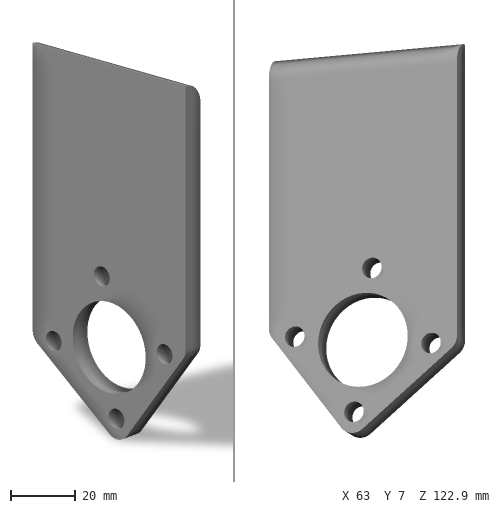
import cadquery as cq
import math

width = 63.0
thickness = 7.0
height = 122.9
corner_radius = 5.0
edge_distance = 22.4
edge_normal_half_spread = 45.5
top_round_radius = thickness

bore_diameter = 30.0
bolt_hole_diameter = 6.5
bolt_circle_radius = 23.0
bolt_count = 4
pattern_tilt = 7.5

tilt = math.radians(pattern_tilt)
half_width = width / 2

half_spread = math.radians(edge_normal_half_spread)
tip_direction = math.radians(270 + pattern_tilt)
left_normal = tip_direction - half_spread
right_normal = tip_direction + half_spread

tip_arc_distance = (edge_distance - corner_radius) / math.cos(half_spread)
bottom_z = tip_arc_distance * math.sin(tip_direction) - corner_radius
top_z = bottom_z + height


def sloped_edge_z(x, normal):
    """Height at x of the sloped edge with the given outward normal angle."""
    return (edge_distance - x * math.cos(normal)) / math.sin(normal)


tip_distance = edge_distance / math.cos(half_spread)
tip = (tip_distance * math.cos(tip_direction), tip_distance * math.sin(tip_direction))

outline = [
    (-half_width, top_z),
    (-half_width, sloped_edge_z(-half_width, left_normal)),
    tip,
    (half_width, sloped_edge_z(half_width, right_normal)),
    (half_width, top_z),
]

plate = cq.Workplane("XZ").polyline(outline).close().extrude(thickness / 2, both=True)

lower_region = cq.selectors.BoxSelector((-width, -thickness, -height), (width, thickness, top_z / 2))
plate = plate.edges("|Y").edges(lower_region).fillet(corner_radius)

round_start_z = top_z - top_round_radius
front_y = -thickness / 2
rear_y = thickness / 2
top_corner = (
    cq.Workplane("YZ")
    .moveTo(front_y, top_z)
    .radiusArc((rear_y, round_start_z), top_round_radius)
    .lineTo(rear_y, top_z)
    .close()
    .extrude(half_width, both=True)
)
plate = plate.cut(top_corner)

bolt_points = []
for i in range(bolt_count):
    angle = tilt + i * 2 * math.pi / bolt_count
    bolt_points.append((bolt_circle_radius * math.cos(angle), bolt_circle_radius * math.sin(angle)))

bore = cq.Workplane("XZ").circle(bore_diameter / 2).extrude(thickness, both=True)
bolt_holes = (
    cq.Workplane("XZ").pushPoints(bolt_points).circle(bolt_hole_diameter / 2).extrude(thickness, both=True)
)

result = plate.cut(bore).cut(bolt_holes)